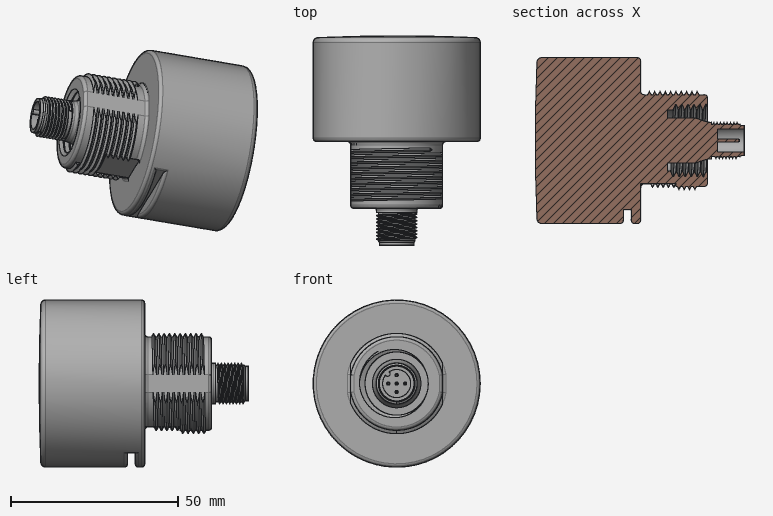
import cadquery as cq
import math


BODY_RADIUS = 25.0
BODY_LENGTH = 31.1
BODY_FRONT_ROUND = 1.0
BODY_BACK_ROUND = 1.5
DOME_RISE = 0.5
SLOT_CENTER_Y = 4.0
SLOT_WIDTH = 2.3
SLOT_FLOOR_Z = -20.75
SLOT_EDGE_ROUND = 1.0

NECK_RADIUS = 14.0
NECK_LENGTH = 20.0
NECK_ROUND = 1.0
FLAT_OFFSET = 13.75
NECK_THREAD_PITCH = 1.5875
NECK_THREAD_HEIGHT = 1.0
NECK_THREAD_WIDTH = 1.25
NECK_THREAD_START = 2.43
NECK_THREAD_START_ANGLE = 45.0
NECK_THREAD_TURNS = 9.625
KEYWAY_WIDTH = 10.6
KEYWAY_FLOOR_Z = -12.9
KEYWAY_LENGTH = 10.5

BORE_RADIUS = 9.45
BORE_DEPTH = 12.0
BORE_THREAD_PITCH = 1.8
BORE_THREAD_DEPTH = 1.7
BORE_THREAD_WIDTH = 1.65
BORE_THREAD_START_ANGLE = 180.0

STEM_RADIUS = 7.25
CONE_START_DEPTH = 3.6
CONE_END_DEPTH = 0.6
CONE_END_RADIUS = 6.3
COLLAR_RADIUS = 6.1
COLLAR_START = 0.5
COLLAR_END = 1.2
CORE_RADIUS = 5.5
TIP_RADIUS = 5.2
TIP_LENGTH = 0.9
TIP_CHAMFER = 0.5
CONNECTOR_LENGTH = 11.0
CONNECTOR_THREAD_PITCH = 1.0
CONNECTOR_THREAD_WIDTH = 0.75
CONNECTOR_THREAD_START = 1.65
CONNECTOR_THREAD_TURNS = 7.75

SOCKET_RADIUS = 4.2
SOCKET_DEPTH = 8.0
KEY_RADIUS = 0.75
KEY_CENTER_RADIUS = 3.97
KEY_ANGLE = 133.0
PIN_RADIUS = 0.48
PIN_TIP_CHAMFER = 0.22
PIN_RECESS = 1.5
PIN_CIRCLE_RADIUS = 2.53

OVERLAP = 0.1

NECK_RIM_Y = -NECK_LENGTH
TIP_Y = NECK_RIM_Y - CONNECTOR_LENGTH
SOCKET_FLOOR_Y = TIP_Y + SOCKET_DEPTH


def cylinder(radius, y_start, y_end, x=0.0, z=0.0):
    """Cylinder along Y between two stations."""
    plane = cq.Plane(origin=(x, y_start, z), xDir=(1, 0, 0), normal=(0, 1, 0))
    return cq.Workplane(plane).circle(radius).extrude(y_end - y_start)


def revolve_about_y(profile):
    """Full turn of an XY profile about the Y axis."""
    return profile.revolve(360, (0, 0, 0), (0, 1, 0))


def helical_ridge(base_radius, peak_radius, width, pitch, turns, start_y, start_angle=0.0):
    """Right-handed V ridge winding toward -Y, with its foot sunk OVERLAP past base_radius.

    start_angle is measured from +X toward +Z.
    """
    outward = math.copysign(1.0, peak_radius - base_radius)
    foot_radius = base_radius - outward * OVERLAP
    helix = cq.Wire.makeHelix(pitch, pitch * turns, base_radius)
    section = cq.Workplane("XZ").polyline(
        [(foot_radius, -width / 2), (peak_radius, 0), (foot_radius, width / 2)]
    ).close()
    ridge = section.sweep(cq.Workplane(helix), isFrenet=True)
    ridge = ridge.rotate((0, 0, 0), (0, 0, 1), start_angle)
    return ridge.rotate((0, 0, 0), (1, 0, 0), 90).translate((0, start_y, 0))


def make_body():
    """Drum with a rounded front rim, a rounded back rim and a shallow domed back."""
    rim_radius = BODY_RADIUS - BODY_BACK_ROUND
    corner_shift = BODY_BACK_ROUND * math.sqrt(0.5)
    round_center_y = BODY_LENGTH - BODY_BACK_ROUND
    front_shift = BODY_FRONT_ROUND * (1 - math.sqrt(0.5))
    dome_radius = (rim_radius ** 2 + DOME_RISE ** 2) / (2 * DOME_RISE)
    mid_radius = rim_radius / 2
    mid_y = BODY_LENGTH + DOME_RISE - dome_radius + math.sqrt(dome_radius ** 2 - mid_radius ** 2)
    profile = (
        cq.Workplane("XY")
        .lineTo(BODY_RADIUS - BODY_FRONT_ROUND, 0)
        .threePointArc((BODY_RADIUS - front_shift, front_shift), (BODY_RADIUS, BODY_FRONT_ROUND))
        .lineTo(BODY_RADIUS, round_center_y)
        .threePointArc((rim_radius + corner_shift, round_center_y + corner_shift), (rim_radius, BODY_LENGTH))
        .threePointArc((mid_radius, mid_y), (0, BODY_LENGTH + DOME_RISE))
        .close()
    )
    return revolve_about_y(profile)


def make_slotted_body():
    """Body with a flat-bottomed slot across its underside, rounded where it opens."""
    slot = cq.Workplane("XY").box(2 * BODY_RADIUS, SLOT_WIDTH, BODY_RADIUS)
    slot = slot.translate((0, SLOT_CENTER_Y, SLOT_FLOOR_Z - BODY_RADIUS / 2))
    mouth_reach = SLOT_WIDTH / 2 + OVERLAP
    half_chord = math.sqrt(BODY_RADIUS ** 2 - SLOT_FLOOR_Z ** 2)
    slotted = make_body().cut(slot)

    def is_mouth_edge(edge):
        center = edge.Center()
        near_slot = abs(center.y - SLOT_CENTER_Y) < mouth_reach
        is_arc = edge.geomType() == "CIRCLE"
        is_floor_end = abs(abs(center.x) - half_chord) < OVERLAP
        return near_slot and (is_arc or is_floor_end)

    mouth_edges = [edge for edge in slotted.edges().vals() if is_mouth_edge(edge)]
    return slotted.newObject(mouth_edges).fillet(SLOT_EDGE_ROUND)


def make_neck():
    """Threaded neck with two flats cut through the thread and a rounded rim."""
    thread = helical_ridge(
        NECK_RADIUS, NECK_RADIUS + NECK_THREAD_HEIGHT, NECK_THREAD_WIDTH,
        NECK_THREAD_PITCH, NECK_THREAD_TURNS, -NECK_THREAD_START,
        NECK_THREAD_START_ANGLE,
    )
    neck = cylinder(NECK_RADIUS, 0, NECK_RIM_Y).union(thread)
    for side in (1, -1):
        beyond_flat = cq.Workplane("XY").box(NECK_RADIUS, 4 * NECK_LENGTH, 4 * NECK_RADIUS)
        neck = neck.cut(beyond_flat.translate((side * (FLAT_OFFSET + NECK_RADIUS / 2), 0, 0)))
    return neck.faces("<Y").edges().fillet(NECK_ROUND)


def make_keyway():
    """Flat-bottomed relief block below the neck, running from the body face."""
    keyway = cq.Workplane("XY").box(KEYWAY_WIDTH, KEYWAY_LENGTH, NECK_RADIUS)
    return keyway.translate((0, -KEYWAY_LENGTH / 2, KEYWAY_FLOOR_Z - NECK_RADIUS / 2))


def make_threaded_bore():
    """Space of the tapped bore, carried past the neck rim so that it opens fully."""
    turns = math.ceil(BORE_DEPTH / BORE_THREAD_PITCH)
    thread = helical_ridge(
        BORE_RADIUS, BORE_RADIUS + BORE_THREAD_DEPTH, BORE_THREAD_WIDTH, BORE_THREAD_PITCH,
        turns, NECK_RIM_Y + (turns - 1) * BORE_THREAD_PITCH, BORE_THREAD_START_ANGLE,
    )
    hole = cylinder(BORE_RADIUS, NECK_RIM_Y - 2 * BORE_THREAD_PITCH, NECK_RIM_Y + BORE_DEPTH)
    return hole.union(thread)


def make_connector():
    """Solid stem, cone, collar, threaded core and tip, from the bore floor outward."""
    stem_base_y = NECK_RIM_Y + BORE_DEPTH + OVERLAP
    cone_start_y = NECK_RIM_Y + CONE_START_DEPTH
    cone_end_y = NECK_RIM_Y + CONE_END_DEPTH
    collar_start_y = NECK_RIM_Y - COLLAR_START
    collar_end_y = NECK_RIM_Y - COLLAR_END
    tip_start_y = TIP_Y + TIP_LENGTH
    profile = cq.Workplane("XY").polyline([
        (0, stem_base_y),
        (STEM_RADIUS, stem_base_y),
        (STEM_RADIUS, cone_start_y),
        (CONE_END_RADIUS, cone_end_y),
        (COLLAR_RADIUS, collar_start_y),
        (COLLAR_RADIUS, collar_end_y),
        (CORE_RADIUS, collar_end_y),
        (CORE_RADIUS, tip_start_y + TIP_CHAMFER),
        (TIP_RADIUS, tip_start_y),
        (TIP_RADIUS, TIP_Y),
        (0, TIP_Y),
    ]).close()
    thread = helical_ridge(
        CORE_RADIUS, COLLAR_RADIUS, CONNECTOR_THREAD_WIDTH, CONNECTOR_THREAD_PITCH,
        CONNECTOR_THREAD_TURNS, NECK_RIM_Y - CONNECTOR_THREAD_START,
    )
    return revolve_about_y(profile).union(thread)


def make_pin(x, z):
    """Contact pin with a chamfered tip, standing on the socket floor."""
    pin = cylinder(PIN_RADIUS, SOCKET_FLOOR_Y + OVERLAP, TIP_Y + PIN_RECESS, x, z)
    return pin.faces("<Y").chamfer(PIN_TIP_CHAMFER)


def make_socket():
    """Space of the socket: a round hole less the polarising key and the five pins."""
    key_angle = math.radians(KEY_ANGLE)
    key_x = KEY_CENTER_RADIUS * math.cos(key_angle)
    key_z = KEY_CENTER_RADIUS * math.sin(key_angle)
    socket = cylinder(SOCKET_RADIUS, TIP_Y, SOCKET_FLOOR_Y)
    socket = socket.cut(cylinder(KEY_RADIUS, TIP_Y, SOCKET_FLOOR_Y, key_x, key_z))
    socket = socket.cut(make_pin(0, 0))
    for quarter in range(4):
        angle = quarter * math.pi / 2
        pin_x = PIN_CIRCLE_RADIUS * math.cos(angle)
        pin_z = PIN_CIRCLE_RADIUS * math.sin(angle)
        socket = socket.cut(make_pin(pin_x, pin_z))
    return socket


def join_neck(body, neck):
    """Joins the neck to the body face and fillets its root all round."""
    root = cq.selectors.BoxSelector(
        (-NECK_RADIUS, -OVERLAP, -NECK_RADIUS), (NECK_RADIUS, OVERLAP, NECK_RADIUS)
    )
    return body.union(neck).edges(root).fillet(NECK_ROUND)


result = join_neck(make_slotted_body(), make_neck()).cut(make_keyway())
result = result.cut(make_threaded_bore())
result = result.union(make_connector()).cut(make_socket())